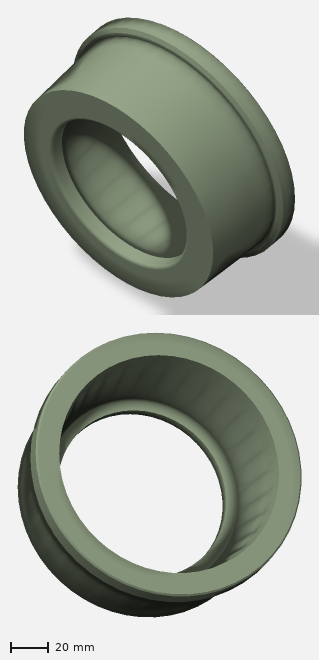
import cadquery as cq
import math

length = 60.0
tip_y = -length / 2
back_y = length / 2

flange_radius = 150.0 / 2
flange_thickness = 12.0
back_chamfer = 0.9
front_chamfer_depth = 1.4
front_chamfer_height = 2.5
flange_front_y = back_y - flange_thickness

sleeve_taper = math.radians(3.0)
sleeve_tip_radius = 67.5
sleeve_length = length - flange_thickness
sleeve_root_radius = sleeve_tip_radius + sleeve_length * math.tan(sleeve_taper)

land_radius = 95.0 / 2
lip_thickness = 8.4
mouth_round = 2.1
lip_back_y = tip_y + lip_thickness

cavity_floor_radius = 105.8 / 2
cavity_start_radius = 108.0 / 2
cavity_back_radius = 62.0
corner_round = cavity_start_radius - cavity_floor_radius

ARC_MID = 1 - math.sqrt(0.5)


def make_outer_body():
    """Solid flange and sleeve, revolved from a (radius, Y) outline."""
    outline = (
        cq.Workplane("XY")
        .moveTo(0, tip_y)
        .lineTo(sleeve_tip_radius, tip_y)
        .lineTo(sleeve_root_radius, flange_front_y)
        .lineTo(flange_radius - front_chamfer_height, flange_front_y)
        .lineTo(flange_radius, flange_front_y + front_chamfer_depth)
        .lineTo(flange_radius, back_y - back_chamfer)
        .lineTo(flange_radius - back_chamfer, back_y)
        .lineTo(0, back_y)
        .close()
    )
    return outline.revolve(360, (0, 0, 0), (0, 1, 0))


def make_bore():
    """Through opening: rounded mouth, land and conical cavity, as a (radius, Y) outline."""
    mouth_mid = (land_radius + mouth_round * ARC_MID, tip_y + mouth_round * ARC_MID)
    corner_mid = (cavity_start_radius - corner_round * ARC_MID, lip_back_y + corner_round * ARC_MID)
    outline = (
        cq.Workplane("XY")
        .moveTo(0, tip_y)
        .lineTo(land_radius + mouth_round, tip_y)
        .threePointArc(mouth_mid, (land_radius, tip_y + mouth_round))
        .lineTo(land_radius, lip_back_y)
        .lineTo(cavity_floor_radius, lip_back_y)
        .threePointArc(corner_mid, (cavity_start_radius, lip_back_y + corner_round))
        .lineTo(cavity_back_radius, back_y)
        .lineTo(0, back_y)
        .close()
    )
    return outline.revolve(360, (0, 0, 0), (0, 1, 0))


result = make_outer_body().cut(make_bore())